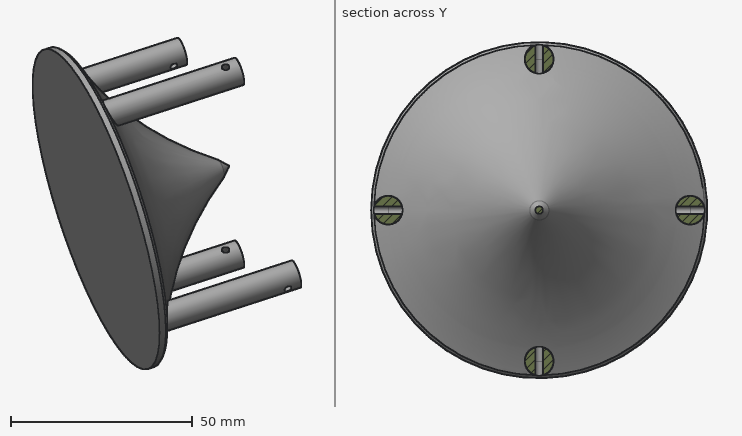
import cadquery as cq

disc_diameter = 92.5
rim_height = 1.85
rim_chamfer = 0.8
disc_thickness = rim_height + rim_chamfer
disc_radius = disc_diameter / 2

horn_foot_radius = disc_radius - rim_chamfer
horn_middle_radius = 20.2
horn_middle_height = 17.8
point_diameter = 5.3
point_base_height = 37.0
point_radius = point_diameter / 2
point_height = point_radius

post_count = 4
post_diameter = 8.0
post_circle_radius = 41.5
total_height = 42.5
cross_hole_diameter = 2.0
cross_hole_end_distance = 4.0


def make_body():
    """Revolve the disc, the curved horn and its point about the Y axis."""
    return (
        cq.Workplane("XY")
        .lineTo(disc_radius, 0)
        .lineTo(disc_radius, rim_height)
        .lineTo(horn_foot_radius, disc_thickness)
        .threePointArc((horn_middle_radius, horn_middle_height), (point_radius, point_base_height))
        .lineTo(0, point_base_height + point_height)
        .close()
        .revolve(360, (0, 0, 0), (0, 1, 0))
    )


def make_post():
    """Build the +X post, standing in the disc, with a radial hole near its free end."""
    post_start = rim_height
    post = (
        cq.Workplane("XZ", origin=(post_circle_radius, post_start, 0))
        .circle(post_diameter / 2)
        .extrude(-(total_height - post_start))
    )
    hole_height = total_height - cross_hole_end_distance
    cross_hole = (
        cq.Workplane("YZ", origin=(post_circle_radius, hole_height, 0))
        .circle(cross_hole_diameter / 2)
        .extrude(post_diameter, both=True)
    )
    return post.cut(cross_hole)


result = make_body()
post = make_post()
for index in range(post_count):
    angle = index * 360 / post_count
    result = result.union(post.rotate((0, 0, 0), (0, 1, 0), angle))